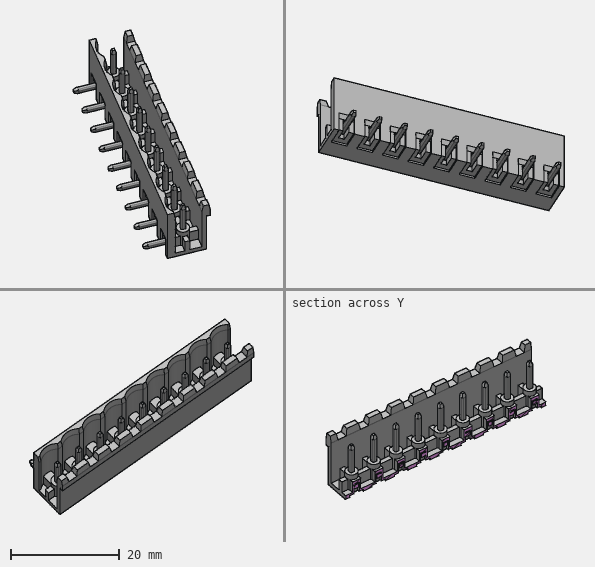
import cadquery as cq

length = 45.7
pin_count = 9
pitch = length / pin_count
pin_xs = [(i - (pin_count - 1) / 2) * pitch for i in range(pin_count)]

height = 12.0
body_depth = 7.6
floor_top = 0.95
cavity_front = 1.55
cavity_back = 6.68
rim_height = 1.45
rim_start = height - rim_height
rim_draft = 0.27
hook_back = 8.3
hook_bottom = 8.95
hook_top_back = hook_back - rim_draft

gap_floor_width = 1.85
gap_top_width = 2.45

pin_width = 1.0
pin_edge_radius = 0.27
pin_tip_width = 0.5
pin_taper = 0.85
pin_y = 3.85
pin_top = 10.75
pin_z = 1.95
pin_front = -3.9

boss_diameter = 2.45
boss_top = 4.55
rib_top = 3.45
long_rib_width = 0.95
back_rib_width = 1.05
front_rib_width = 1.9
scallop_radius = 3.05
scallop_flare = 0.27

window_width = 3.05
window_height = 4.02
window_depth = 0.4
window_slope = 0.95
recess_height = 0.4
slot_width = 1.15
slot_top = 2.8


def box(x0, x1, y0, y1, z0, z1):
    """Axis-aligned box between the given limits."""
    return cq.Workplane("XY").box(x1 - x0, y1 - y0, z1 - z0, centered=False).translate((x0, y0, z0))


def box_at(x, width, y0, y1, z0, z1):
    """Box centred on x in the X direction."""
    return box(x - width / 2, x + width / 2, y0, y1, z0, z1)


def yz_prism(points, x, width):
    """Outline in the YZ plane, extruded along X and centred on x."""
    return cq.Workplane("YZ").polyline(points).close().extrude(width / 2, both=True).translate((x, 0, 0))


def cylinder(x, radius, z0, z1):
    """Vertical cylinder on a pin axis."""
    return cq.Workplane("XY", origin=(x, pin_y, z0)).circle(radius).extrude(z1 - z0)


def make_shell():
    """U-shaped housing with drafted rims and a latching hook on the rear wall."""
    section = [
        (0, 0),
        (body_depth, 0),
        (body_depth, hook_bottom),
        (hook_back, hook_bottom),
        (hook_back, rim_start),
        (hook_top_back, height),
        (cavity_back + rim_draft, height),
        (cavity_back, rim_start),
        (cavity_back, floor_top),
        (cavity_front, floor_top),
        (cavity_front, rim_start),
        (cavity_front - rim_draft, height),
        (0, height),
    ]
    return yz_prism(section, 0, length)


def rim_gap(x):
    """Gap with sloping sides that splits the rear rim."""
    return (
        cq.Workplane("XZ", origin=(x, hook_back, 0))
        .moveTo(-gap_floor_width / 2, rim_start)
        .lineTo(gap_floor_width / 2, rim_start)
        .lineTo(gap_top_width / 2, height)
        .lineTo(-gap_top_width / 2, height)
        .close()
        .extrude(hook_back - cavity_back)
    )


def scallop(x):
    """Round hollow in the front wall, flared outward at the rim."""
    bore = cylinder(x, scallop_radius, floor_top, rim_start)
    flare = (
        cq.Workplane("XY", origin=(x, pin_y, rim_start))
        .circle(scallop_radius)
        .workplane(offset=rim_height)
        .circle(scallop_radius + scallop_flare)
        .loft()
    )
    front_half = box_at(x, pitch, 0, pin_y, floor_top, height)
    return bore.union(flare).intersect(front_half)


def cross_ribs(x):
    """Ribs that tie a boss to the front and rear walls."""
    front = box_at(x, front_rib_width, window_depth, pin_y, floor_top, rib_top)
    back = box_at(x, back_rib_width, pin_y, cavity_back, floor_top, rib_top)
    return front.union(back)


def window(x):
    """Shallow front window with a sloping ceiling and a deeper recess along the underside."""
    section = [
        (0, 0),
        (window_depth, 0),
        (window_depth, window_height - window_slope),
        (0, window_height),
    ]
    pocket = yz_prism(section, x, window_width)
    return pocket.union(box_at(x, window_width, 0, pin_y, 0, recess_height))


def pin_slot(x):
    """Slot from the window back to the pin, its ceiling falling to the top of the pin."""
    pin_upper_face = pin_z + pin_width / 2
    section = [
        (window_depth, recess_height),
        (pin_y, recess_height),
        (pin_y, pin_upper_face),
        (window_depth, slot_top),
    ]
    return yz_prism(section, x, slot_width)


def pin_leg(leg_length):
    """Square leg along +Z with rounded edges and a tapered tip."""
    bar = cq.Workplane("XY").rect(pin_width, pin_width).extrude(leg_length)
    bar = bar.edges("|Z").fillet(pin_edge_radius)
    taper_start = leg_length - pin_taper
    tip = (
        cq.Workplane("XY", origin=(0, 0, taper_start))
        .rect(pin_width, pin_width)
        .workplane(offset=pin_taper)
        .rect(pin_tip_width, pin_tip_width)
        .loft()
    )
    envelope = cq.Workplane("XY").rect(pin_width, pin_width).extrude(taper_start).union(tip)
    return bar.intersect(envelope)


def pin(x):
    """Bent pin: one leg upward and one leg out through the front wall."""
    upper = pin_leg(pin_top - pin_z).translate((x, pin_y, pin_z))
    lower = pin_leg(pin_y - pin_front).rotate((0, 0, 0), (1, 0, 0), 90).translate((x, pin_y, pin_z))
    return upper.union(lower)


def boss(x):
    """Round boss that carries the pin bend."""
    return cylinder(x, boss_diameter / 2, recess_height, boss_top)


housing = make_shell()
for x in pin_xs:
    housing = housing.cut(rim_gap(x)).cut(scallop(x))

long_rib = box_at(0, length, pin_y - long_rib_width / 2, pin_y + long_rib_width / 2, floor_top, rib_top)
housing = housing.union(long_rib)
for x in pin_xs:
    housing = housing.union(cross_ribs(x))
    housing = housing.cut(window(x)).cut(pin_slot(x))
    housing = housing.union(boss(x)).union(pin(x))

result = housing